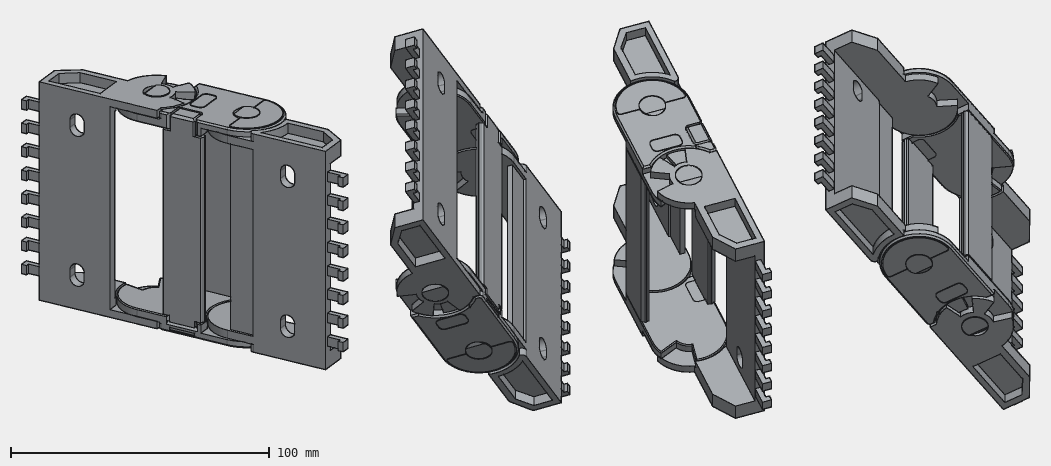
import cadquery as cq
import math

Z_FACE = 46.6
Z_SPLIT = 43.3
Z_INNER = 39.9

PIVOT_X = 20.1
LINK_TOP = 30.5
LINK_R = LINK_TOP / 2
PIVOT_Y = LINK_R
EAR_R = 14.9
FIT = 0.6
PIN_R = 5.2
FLOOR_Y = PIVOT_Y - EAR_R

WING_X = 63.8
WING_TOP = 18.4
WING_SIDE_TOP = 12.3
SLOPE_X = 54.6
POCKET_DEPTH = 4.3
POCKET_X = 61.0
POCKET_BOTTOM = 2.9
POCKET_TOP = 15.5
POCKET_SIDE_TOP = 10.8
POCKET_SLOPE_X = 54.2
LEFT_POCKET_END = 38.0
RIGHT_POCKET_R = 18.4
TIP_X = 29.7
TIP_HEIGHT = 2.7
TIP_CORNER_R = 2.0

PLATE_TOP = 4.3
LEFT_PLATE_X = 32.3
RIGHT_PLATE_X = 31.4
FLANGE_X = 21.0
FLANGE_BOTTOM = 1.5
FLANGE_TOP = 3.6
SLOT_X = 46.9
SLOT_Z = 32.0
SLOT_LENGTH = 9.5
SLOT_WIDTH = 6.3

TEETH = 8
TOOTH_PITCH = 10.0
TOOTH_WIDTH = 4.0
TOOTH_END_X = 71.7
TOOTH_TOP = 4.2
TOOTH_THICKNESS = 2.3
HOOK_LENGTH = 2.3

FOOT_X = -11.2
FOOT_HEIGHT = 3.6
FOOT_SHOULDER = (-7.3, 7.0)
SECTOR_R = 7.5
EAR_SECTORS = [(62, 105), (-15, 28)]
STOP_SECTOR = (-15, 13)
STOP_R = 8.2
STOP_Z = 44.9

LINK_NOTCH = (115, 170)
BRACKET_NOTCH = (62, 118)
NOTCH_R = 6.9

LINK_TOP_LEFT_X = -10.0
EAR_GAP = 0.6
LINK_INNER_END_X = 8.5
LINK_OUTER_Z = 43.7
EDGE_CHAMFER = 0.7
LINK_CORNER_R = 1.5
INNER_CHAMFER = 0.5
RIGHT_GAP = 0.7
CHEEK_R = 14.0
CHEEK_Z = 46.9
CHEEK_CORNER_R = 1.1
LABEL_X, LABEL_Y = -0.3, 17.2
LABEL_WIDTH, LABEL_LENGTH = 6.3, 12.3
LABEL_CORNER_R = 2.0
LABEL_DEPTH = 0.3

LEFT_PIN_Z, LEFT_PIN_FLAT, LEFT_PIN_DROP = 47.0, 2.6, 2.2
RIGHT_PIN_Z, RIGHT_PIN_FLAT, RIGHT_PIN_DROP = 47.2, 3.5, 0.6

BAR_HALF_WIDTH = 8.7
BAR_THICKNESS = 3.2
BAR_SLOPE = 0.5
RIDGE_X = 9.2
RIDGE_START = 1.1
RIDGE_WIDTH = 1.1
BAR_HALF_LENGTH = 39.5
TAB_HALF_WIDTH = 5.6
TAB_DEPTH = 7.5
TAB_CHAMFER = 1.0
TAB_SIDE_CHAMFER = 0.6
TAB_CORNER_R = 1.7
LOWER_TAB_Z = 42.2
LEDGE_CHAMFER = 1.3
LEDGE_HALF_WIDTH = 6.9
MOUTH_CHAMFER = 1.3
GROOVE_TOP_Z = 44.5
GROOVE_HEIGHT = 1.3
GROOVE_DEPTH = 0.7

REACH = 57.4


def layer(z_low, z_high):
    """Sketch plane at z_low and the height up to z_high."""
    return cq.Workplane("XY", origin=(0, 0, z_low)), z_high - z_low


def prism(points, z_low, z_high):
    plane, height = layer(z_low, z_high)
    return plane.polyline(points).close().extrude(height)


def disc(x, radius, z_low, z_high):
    plane, height = layer(z_low, z_high)
    return plane.center(x, PIVOT_Y).circle(radius).extrude(height)


def block(x_low, x_high, y_low, y_high, z_low, z_high):
    corner = (x_low, y_low, z_low)
    size = (x_high - x_low, y_high - y_low, z_high - z_low)
    return cq.Workplane("XY").box(*size, centered=False).translate(corner)


def sector(x, angles, inner_r, outer_r, z_low, z_high):
    """Ring sector about the pivot at x, angles in degrees from +X."""
    def at(radius, angle):
        turn = math.radians(angle)
        return (x + radius * math.cos(turn), PIVOT_Y + radius * math.sin(turn))

    start, end = angles
    middle = (start + end) / 2
    plane, height = layer(z_low, z_high)
    return (
        plane.moveTo(*at(inner_r, start))
        .lineTo(*at(outer_r, start))
        .threePointArc(at(outer_r, middle), at(outer_r, end))
        .lineTo(*at(inner_r, end))
        .threePointArc(at(inner_r, middle), at(inner_r, start))
        .close()
        .extrude(height)
    )


def pin(x, top_z, flat_offset, drop):
    """Pivot pin whose -X side slopes down for snapping in."""
    body = disc(x, PIN_R, Z_SPLIT, top_z)
    ramp = (
        cq.Workplane("XZ", origin=(0, PIVOT_Y + PIN_R, 0))
        .polyline([(x - flat_offset, top_z), (x - PIN_R, top_z), (x - PIN_R, top_z - drop)])
        .close()
        .extrude(2 * PIN_R)
    )
    return body.cut(ramp)


def both_ends(upper):
    """The upper end together with its mirror image at the lower end."""
    return upper.union(upper.mirror("XY"))


def wing(side):
    """Solid end block of a bracket, from its outer edge to the pivot."""
    return prism(
        [
            (side * PIVOT_X, FLOOR_Y),
            (side * WING_X, FLOOR_Y),
            (side * WING_X, WING_SIDE_TOP),
            (side * SLOPE_X, WING_TOP),
            (side * PIVOT_X, WING_TOP),
        ],
        Z_INNER,
        Z_FACE,
    )


def pocket(side, inner_x):
    return prism(
        [
            (side * inner_x, POCKET_BOTTOM),
            (side * POCKET_X, POCKET_BOTTOM),
            (side * POCKET_X, POCKET_SIDE_TOP),
            (side * POCKET_SLOPE_X, POCKET_TOP),
            (side * inner_x, POCKET_TOP),
        ],
        Z_FACE - POCKET_DEPTH,
        Z_FACE,
    )


def mounting_plate(side, inner_x):
    """Plate between the two ends of a bracket, with its mounting slots."""
    x_low, x_high = sorted((side * inner_x, side * WING_X))
    plate = block(x_low, x_high, FLOOR_Y, PLATE_TOP, -Z_INNER, Z_INNER)
    slots = (
        cq.Workplane("XZ", origin=(0, PLATE_TOP, 0))
        .pushPoints([(side * SLOT_X, -SLOT_Z), (side * SLOT_X, SLOT_Z)])
        .slot2D(SLOT_LENGTH, SLOT_WIDTH, 90)
        .extrude(PLATE_TOP)
    )
    return plate.cut(slots)


def tooth(side, z):
    hook_x = TOOTH_END_X - HOOK_LENGTH
    underside = TOOTH_TOP - TOOTH_THICKNESS
    outline = [
        (WING_X, TOOTH_TOP),
        (TOOTH_END_X, TOOTH_TOP),
        (TOOTH_END_X, FLOOR_Y),
        (hook_x, FLOOR_Y),
        (hook_x, underside),
        (WING_X, underside),
    ]
    return prism(
        [(side * x, y) for x, y in outline], z - TOOTH_WIDTH / 2, z + TOOTH_WIDTH / 2
    )


def with_teeth(bracket, side):
    for index in range(TEETH):
        bracket = bracket.union(tooth(side, (index - (TEETH - 1) / 2) * TOOTH_PITCH))
    return bracket


def ear_outline(gap, z_low, z_high):
    """Round left ear with its foot, grown by a gap on the link side."""
    shoulder_x, shoulder_y = FOOT_SHOULDER
    foot = prism(
        [
            (-PIVOT_X, FLOOR_Y - gap),
            (FOOT_X + gap, FLOOR_Y - gap),
            (FOOT_X + gap, FOOT_HEIGHT),
            (shoulder_x + gap, shoulder_y),
            (-PIVOT_X, PIVOT_Y),
        ],
        z_low,
        z_high,
    )
    return foot.union(disc(-PIVOT_X, EAR_R + gap, z_low, z_high))


def make_left_bracket():
    hollow = disc(-PIVOT_X, LINK_R + FIT, Z_INNER, Z_SPLIT).union(
        block(-LEFT_PLATE_X, 0, 0, PIVOT_Y, Z_INNER, Z_SPLIT)
    )
    end = wing(-1).cut(hollow).cut(pocket(-1, LEFT_POCKET_END))
    end = end.union(ear_outline(0, Z_SPLIT, Z_FACE))
    for angles in EAR_SECTORS:
        end = end.cut(sector(-PIVOT_X, angles, SECTOR_R, REACH, Z_SPLIT, Z_FACE))
    end = end.cut(disc(-PIVOT_X, PIN_R, Z_SPLIT, Z_FACE))
    bracket = both_ends(end).union(mounting_plate(-1, LEFT_PLATE_X))
    return with_teeth(bracket, -1)


def make_right_bracket():
    inner_end = disc(PIVOT_X, EAR_R, Z_INNER, Z_SPLIT)
    end = wing(1).union(inner_end)
    end = end.cut(block(0, TIP_X, 0, TIP_HEIGHT, Z_SPLIT, Z_FACE))
    end = end.cut(disc(PIVOT_X, LINK_R + RIGHT_GAP, Z_SPLIT, Z_FACE))
    tip = cq.selectors.BoxSelector(
        (TIP_X - FIT, 0, Z_SPLIT), (TIP_X + FIT, 2 * FLOOR_Y, Z_FACE)
    )
    end = end.edges("|Z").edges(tip).fillet(TIP_CORNER_R)
    recess = pocket(1, PIVOT_X).cut(disc(PIVOT_X, RIGHT_POCKET_R, Z_INNER, Z_FACE))
    end = end.cut(recess)
    end = end.cut(sector(PIVOT_X, BRACKET_NOTCH, NOTCH_R, REACH, Z_INNER, Z_SPLIT))
    end = end.union(pin(PIVOT_X, RIGHT_PIN_Z, RIGHT_PIN_FLAT, RIGHT_PIN_DROP))
    flange = block(FLANGE_X, RIGHT_PLATE_X, FLANGE_BOTTOM, FLANGE_TOP, -Z_INNER, Z_INNER)
    bracket = both_ends(end).union(mounting_plate(1, RIGHT_PLATE_X)).union(flange)
    return with_teeth(bracket, 1)


def link_inner_layer():
    """Round left end, pin and stop, running to the middle of the link."""
    plate = block(-PIVOT_X, LINK_INNER_END_X, 0, LINK_TOP, Z_INNER, LINK_OUTER_Z)
    plate = plate.union(disc(-PIVOT_X, LINK_R, Z_INNER, LINK_OUTER_Z))
    plate = plate.cut(ear_outline(EAR_GAP, Z_SPLIT, LINK_OUTER_Z))
    plate = plate.cut(block(-REACH, LINK_TOP_LEFT_X, 0, LINK_TOP, Z_SPLIT, LINK_OUTER_Z))
    plate = plate.cut(disc(PIVOT_X, EAR_R + FIT, Z_INNER, LINK_OUTER_Z))
    plate = plate.cut(sector(-PIVOT_X, LINK_NOTCH, NOTCH_R, REACH, Z_INNER, Z_SPLIT))
    plate = plate.faces("<Z").edges().chamfer(INNER_CHAMFER)
    plate = plate.union(pin(-PIVOT_X, LEFT_PIN_Z, LEFT_PIN_FLAT, LEFT_PIN_DROP))
    return plate.union(sector(-PIVOT_X, STOP_SECTOR, STOP_R, EAR_R + EAR_GAP, Z_SPLIT, STOP_Z))


def link_outer_layer():
    """Round right end, hollowed on the left around the ear of the bracket."""
    plate = block(FOOT_X + EAR_GAP, PIVOT_X, 0, LINK_TOP, LINK_OUTER_Z, Z_FACE)
    plate = plate.union(disc(PIVOT_X, LINK_R, LINK_OUTER_Z, Z_FACE))
    plate = plate.cut(ear_outline(EAR_GAP, LINK_OUTER_Z, Z_FACE))
    plate = plate.cut(block(-REACH, LINK_TOP_LEFT_X, PIVOT_Y, LINK_TOP, LINK_OUTER_Z, Z_FACE))
    plate = plate.edges("|Z and <X").edges("<Y").fillet(LINK_CORNER_R)
    plate = plate.faces(">Z").edges().chamfer(EDGE_CHAMFER)
    label = (
        cq.Workplane("XY", origin=(LABEL_X, LABEL_Y, Z_FACE - LABEL_DEPTH))
        .rect(LABEL_WIDTH, LABEL_LENGTH)
        .extrude(LABEL_DEPTH)
        .edges("|Z")
        .fillet(LABEL_CORNER_R)
    )
    cheek = disc(PIVOT_X, CHEEK_R, Z_FACE, CHEEK_Z)
    cheek = cheek.cut(block(0, PIVOT_X, 0, LINK_TOP, Z_FACE, CHEEK_Z))
    cheek = cheek.edges("|Z and <X").fillet(CHEEK_CORNER_R)
    plate = plate.cut(label).union(cheek)
    return plate.cut(disc(PIVOT_X, PIN_R, LINK_OUTER_Z, CHEEK_Z))


def bar(y_outer, y_inner, half_length):
    """Crossbar with leaning sides and a pointed ridge along each of them."""
    inward = math.copysign(1, y_inner - y_outer)
    right_side = [
        (BAR_HALF_WIDTH - BAR_SLOPE, y_outer),
        (BAR_HALF_WIDTH, y_outer + inward * RIDGE_START),
        (RIDGE_X, y_outer + inward * (RIDGE_START + RIDGE_WIDTH / 2)),
        (BAR_HALF_WIDTH, y_outer + inward * (RIDGE_START + RIDGE_WIDTH)),
        (BAR_HALF_WIDTH, y_inner),
    ]
    left_side = [(-x, y) for x, y in reversed(right_side)]
    return prism(right_side + left_side, -half_length, half_length)


def tab(z_low, z_high):
    return block(-TAB_HALF_WIDTH, TAB_HALF_WIDTH, 0, TAB_DEPTH, z_low, z_high).edges(
        "|Z and >Y"
    ).fillet(TAB_CORNER_R)


def make_link():
    link = both_ends(link_inner_layer().union(link_outer_layer()))
    link = link.union(bar(LINK_TOP, LINK_TOP - BAR_THICKNESS, Z_INNER))
    link = link.cut(tab(Z_INNER, Z_FACE)).cut(tab(-LOWER_TAB_Z, -Z_INNER))
    mouth_half_width = TAB_HALF_WIDTH + MOUTH_CHAMFER
    mouth = [
        (-mouth_half_width, 0),
        (mouth_half_width, 0),
        (TAB_HALF_WIDTH, MOUTH_CHAMFER),
        (-TAB_HALF_WIDTH, MOUTH_CHAMFER),
    ]
    link = link.cut(prism(mouth, -LOWER_TAB_Z, -Z_INNER)).cut(prism(mouth, Z_INNER, Z_FACE))
    ledge_slope = (
        cq.Workplane("YZ", origin=(-LEDGE_HALF_WIDTH, 0, 0))
        .polyline(
            [(0, -LOWER_TAB_Z), (LEDGE_CHAMFER, -LOWER_TAB_Z), (0, -LOWER_TAB_Z - LEDGE_CHAMFER)]
        )
        .close()
        .extrude(2 * LEDGE_HALF_WIDTH)
    )
    groove = block(
        -TAB_HALF_WIDTH, TAB_HALF_WIDTH, 0, GROOVE_DEPTH, -GROOVE_TOP_Z - GROOVE_HEIGHT, -GROOVE_TOP_Z
    )
    return link.cut(ledge_slope).cut(groove)


def make_crossbar():
    upper_tab = tab(0, Z_FACE).faces(">Z").edges().chamfer(TAB_CHAMFER)
    upper_tab = upper_tab.edges("|Z and <Y").chamfer(TAB_SIDE_CHAMFER)
    lower_tab = tab(-LOWER_TAB_Z, 0)
    clear = block(-REACH, REACH, BAR_THICKNESS, TAB_DEPTH, -Z_INNER, Z_INNER)
    return bar(0, BAR_THICKNESS, BAR_HALF_LENGTH).union(upper_tab).union(lower_tab).cut(clear)


left_bracket = make_left_bracket()
right_bracket = make_right_bracket()
link = make_link()
crossbar = make_crossbar()

result = cq.Compound.makeCompound(
    [body.solids().val() for body in (left_bracket, right_bracket, link, crossbar)]
)